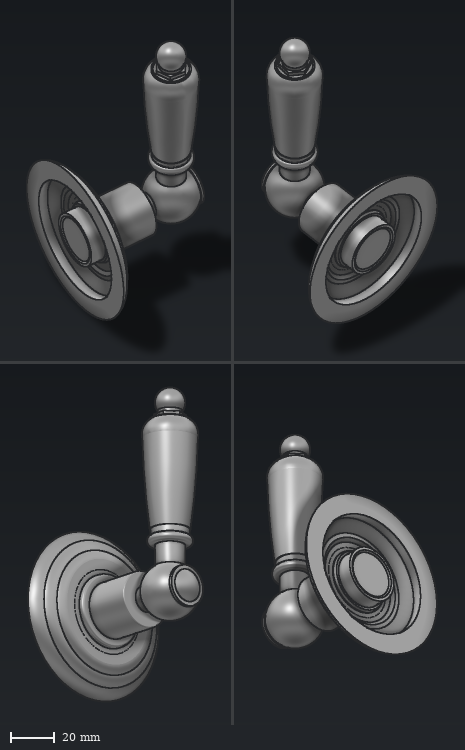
import cadquery as cq

height = 137.4
depth = 67.7

flange_radius = 80.0 / 2
flange_thickness = 10.2
flange_top_radius = 24.9
lower_tier_radius, lower_tier_y = 34.8, 5.2
upper_tier_radius, upper_tier_y = 29.4, 8.1
recess_radius, recess_straight_depth = 30.0, 4.8
recess_floor_radius, recess_floor_y = 23.9, 8.2
bore_radius, bore_end_radius = 21.7, 19.9
bore_end_y = 9.6
tier_bulge_ratio = 0.1

collar_radius = 17.5
collar_end_y = 12.6
collar_round = 1.2
sleeve_radius = 13.5
sleeve_end_y = 36.1
sleeve_round = 0.5
face_recess_radius, face_recess_floor_radius = 12.0, 11.0
face_recess_depth = 0.5
shoulder_radius, shoulder_y = 15.4, 9.2
shoulder_end_radius, shoulder_end_y = 14.7, 7.7

neck_radius = 6.2
ball_radius = 13.7
ball_y = 52.9
cap_radius = 9.8
cap_start_y, cap_end_y = 63.2, 64.7
dome_radius = 7.7

handle_top = height - flange_radius
stem_radius = 7.0
ring_radius = 10.6
ring_bottom, ring_top = 21.8, 26.2
ring_round = 2.0
grip_bottom, grip_bottom_radius = 29.4, 9.3
grip_neck_radius = 9.0
grip_middle, grip_middle_radius = 55.0, 12.0
grip_widest, grip_widest_radius = 73.1, 12.8
grip_shoulder, grip_shoulder_radius = 79.1, 12.0
grip_top, grip_top_radius = 82.0, 9.2
washer_radius = 8.4
nut_bottom, nut_top = 82.5, 84.5
nut_corner_radius = 7.5
nut_angle = 24
knob_neck_radius = 5.8
knob_radius = 7.0
knob_z = handle_top - knob_radius


def y_cylinder(radius, start, end):
    """Cylinder on the body axis between two Y positions."""
    return cq.Workplane("XZ", origin=(0, start, 0)).circle(radius).extrude(start - end)


def z_cylinder(radius, bottom, top):
    """Cylinder on the handle axis between two heights."""
    return cq.Workplane("XY", origin=(0, ball_y, bottom)).circle(radius).extrude(top - bottom)


def spin_y(profile):
    """Revolve a closed (radius, y) profile about the body axis."""
    return profile.close().revolve(360, (0, 0, 0), (0, 1, 0))


def bulged_arc(profile, start, end):
    """Add an arc from start to end, pushed outwards from the middle of its chord."""
    run, rise = start[0] - end[0], end[1] - start[1]
    middle_radius = (start[0] + end[0]) / 2 + tier_bulge_ratio * rise
    middle_y = (start[1] + end[1]) / 2 + tier_bulge_ratio * run
    return profile.threePointArc((middle_radius, middle_y), end)


def make_flange():
    profile = cq.Workplane("XY").moveTo(recess_radius, 0).lineTo(flange_radius, 0)
    tiers = [
        (flange_radius, 0),
        (lower_tier_radius, lower_tier_y),
        (upper_tier_radius, upper_tier_y),
        (flange_top_radius, flange_thickness),
    ]
    for start, end in zip(tiers, tiers[1:]):
        profile = bulged_arc(profile, start, end)
    profile = (
        profile.lineTo(0, flange_thickness)
        .lineTo(0, bore_end_y)
        .lineTo(bore_end_radius, bore_end_y)
        .lineTo(bore_radius, recess_floor_y)
        .lineTo(recess_floor_radius, recess_floor_y)
        .lineTo(recess_radius, recess_straight_depth)
    )
    return spin_y(profile)


def make_sleeve():
    sleeve = y_cylinder(sleeve_radius, 0, sleeve_end_y).faces(">Y").edges().fillet(sleeve_round)
    collar = y_cylinder(collar_radius, flange_thickness, collar_end_y)
    collar = collar.faces(">Y").edges().fillet(collar_round)
    shoulder = spin_y(
        cq.Workplane("XY")
        .moveTo(0, flange_thickness)
        .lineTo(shoulder_radius, flange_thickness)
        .lineTo(shoulder_radius, shoulder_y)
        .lineTo(shoulder_end_radius, shoulder_end_y)
        .lineTo(0, shoulder_end_y)
    )
    face_recess = spin_y(
        cq.Workplane("XY")
        .lineTo(face_recess_radius, 0)
        .lineTo(face_recess_floor_radius, face_recess_depth)
        .lineTo(0, face_recess_depth)
    )
    return sleeve.union(collar).union(shoulder).cut(face_recess)


def make_ball_joint():
    ball = cq.Workplane("XY").sphere(ball_radius).translate((0, ball_y, 0))
    neck = y_cylinder(neck_radius, sleeve_end_y, ball_y)
    cap = y_cylinder(cap_radius, cap_start_y, cap_end_y)
    dome_height = depth - cap_end_y
    sphere_radius = (dome_radius**2 + dome_height**2) / (2 * dome_height)
    dome = cq.Workplane("XY").sphere(sphere_radius).translate((0, depth - sphere_radius, 0))
    dome = dome.intersect(y_cylinder(cap_radius, cap_end_y, depth))
    return ball.union(neck).union(cap).union(dome)


def make_grip():
    profile = (
        cq.Workplane("XZ")
        .moveTo(0, grip_bottom)
        .lineTo(grip_bottom_radius, grip_bottom)
        .threePointArc((grip_middle_radius, grip_middle), (grip_widest_radius, grip_widest))
        .threePointArc((grip_shoulder_radius, grip_shoulder), (grip_top_radius, grip_top))
        .lineTo(0, grip_top)
        .close()
    )
    return profile.revolve(360, (0, 0, 0), (0, 1, 0)).translate((0, ball_y, 0))


def make_handle():
    ring = z_cylinder(ring_radius, ring_bottom, ring_top)
    ring = ring.edges().fillet(ring_round)
    nut = (
        cq.Workplane("XY")
        .polygon(6, 2 * nut_corner_radius)
        .extrude(nut_top - nut_bottom)
        .rotate((0, 0, 0), (0, 0, 1), nut_angle)
        .translate((0, ball_y, nut_bottom))
    )
    knob = cq.Workplane("XY").sphere(knob_radius).translate((0, ball_y, knob_z))
    return (
        z_cylinder(stem_radius, 0, ring_bottom)
        .union(ring)
        .union(z_cylinder(grip_neck_radius, ring_top, grip_bottom))
        .union(make_grip())
        .union(z_cylinder(washer_radius, grip_top, nut_bottom))
        .union(nut)
        .union(z_cylinder(knob_neck_radius, nut_top, knob_z))
        .union(knob)
    )


result = make_flange().union(make_sleeve()).union(make_ball_joint()).union(make_handle())